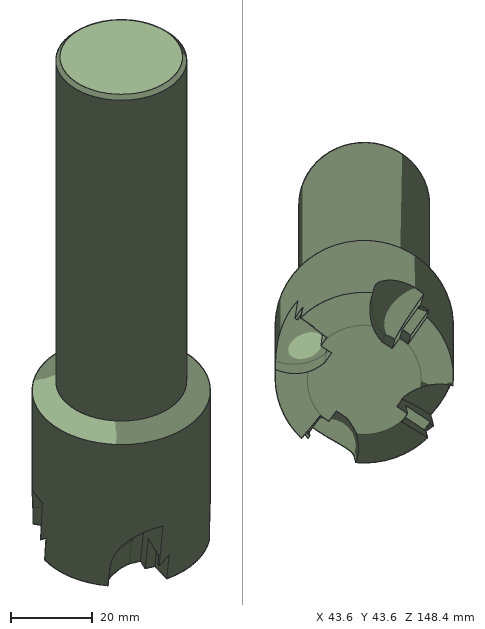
import cadquery as cq

overall_length = 148.4
shank_radius = 16.0
shank_chamfer = 1.0

head_radius = 21.8
head_height = 45.5
shoulder_height = 2.8
end_face_radius = 14.0
end_cone_height = 1.8

flute_count = 4
gullet_radius = 12.3
gullet_center_x = 1.6
gullet_center_y = -22.4
gullet_center_z = 6.2
floor_flat_half_width = 3.0
rake_angle = 5.0

seat_depth = 2.5
seat_top = 2.8
seat_inner_y = -13.7

lip_height = 2.5
lip_inner_y = -21.0

cut_reach = 44.5


def make_blank():
    """Turned blank: shank, conical shoulder, head and shallow end cone."""
    profile = [
        (0, 0),
        (end_face_radius, 0),
        (head_radius, end_cone_height),
        (head_radius, head_height),
        (shank_radius, head_height + shoulder_height),
        (shank_radius, overall_length - shank_chamfer),
        (shank_radius - shank_chamfer, overall_length),
        (0, overall_length),
    ]
    return cq.Workplane("XZ").polyline(profile).close().revolve(360, (0, 0), (0, 1))


def make_gullet():
    """Ball-ended cutter path about the origin, cut off at the rake face (X = 0) and the flat floor."""
    ball = cq.Workplane("XY").sphere(gullet_radius)
    path = cq.Workplane("XY").circle(gullet_radius).extrude(-cut_reach)
    floor_depth = (gullet_radius**2 - floor_flat_half_width**2) ** 0.5
    kept_side = cq.Workplane("XY").box(cut_reach, cut_reach, 2 * cut_reach)
    kept_side = kept_side.translate((-cut_reach / 2, floor_depth - cut_reach / 2, 0))
    return ball.union(path).intersect(kept_side)


def make_seat():
    """Insert seat reaching seat_depth behind the rake face, less the lip under its roof."""
    inner_y = seat_inner_y - gullet_center_y
    seat = cq.Workplane("XY").box(2 * seat_depth, cut_reach, cut_reach)
    seat = seat.translate((0, inner_y - cut_reach / 2, seat_top - cut_reach / 2))
    lip_profile = [(0, seat_top), (seat_depth, seat_top), (0, seat_top - lip_height)]
    lip = cq.Workplane("XZ", origin=(0, lip_inner_y - gullet_center_y, 0))
    lip = lip.polyline(lip_profile).close().extrude(cut_reach)
    return seat.cut(lip)


def make_flute():
    """Complete flute on the -Y side of the head, leaned by the rake angle."""
    flute = make_gullet().union(make_seat())
    flute = flute.rotate((0, 0, 0), (0, 1, 0), rake_angle)
    return flute.translate((gullet_center_x, gullet_center_y, gullet_center_z))


result = make_blank()
flute = make_flute()
for index in range(flute_count):
    result = result.cut(flute.rotate((0, 0, 0), (0, 0, 1), index * 360 / flute_count))